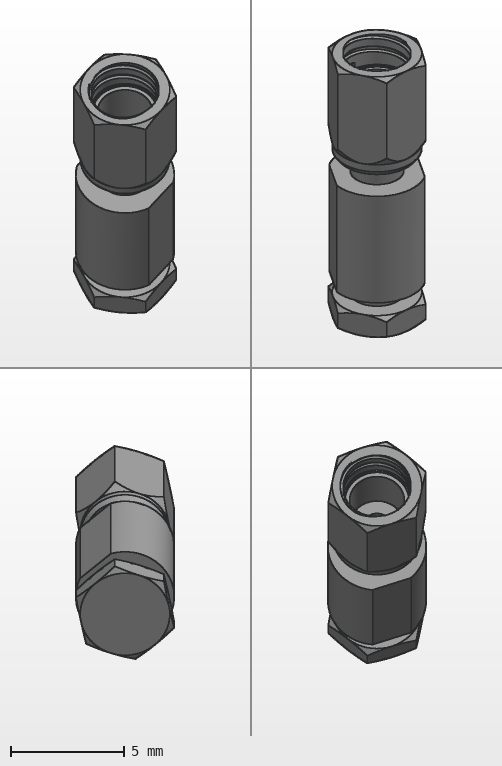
import cadquery as cq
import math

total_height = 13.51
base_hex_top = 1.12
sleeve_bottom = 1.9
sleeve_top = 7.43
nut_bottom = 8.16
collar_edge = 8.32
collar_bottom = 8.58
nut_hex_bottom = 8.95

across_flats = 3.96
flat_radius = across_flats / 2
corner_radius = flat_radius / math.cos(math.radians(30))
neck_radius = 1.19
sleeve_radius = 2.18
collar_end_radius = 1.34
collar_edge_radius = 1.78
hex_chamfer = (corner_radius - flat_radius) * math.tan(math.radians(30))
nut_lower_chamfer = 0.5

thread_minor_radius = 1.5
step_radius = 1.42
step_height = 0.08
thread_root_radius = 1.62
ledge_depth = 1.58
lower_bore_radius = 1.22
socket_floor = 9.46

thread_pitch = 0.69
thread_opening = 0.28
thread_root_width = 0.15
thread_turns = 2.25
thread_runout = 0.23
thread_start_angle = -60
thread_overlap = 0.04

recess_radius = 0.61
recess_depth = 0.81
contact_radius = 0.39
notch_width = 0.53
notch_back = 0.061
notch_depth = 0.34
notch_knee_rise = 0.04
notch_front_rise = 0.23


def hexagon(bottom, top, lower_chamfer, upper_chamfer):
    """Hexagon with corners on Y, turned down to its inscribed circle at both ends."""
    prism = (
        cq.Workplane("XY", origin=(0, 0, bottom))
        .polygon(6, 2 * corner_radius)
        .extrude(top - bottom)
        .rotate((0, 0, 0), (0, 0, 1), 30)
    )
    envelope = (
        cq.Workplane("XZ")
        .moveTo(0, bottom)
        .lineTo(flat_radius, bottom)
        .lineTo(corner_radius, bottom + lower_chamfer)
        .lineTo(corner_radius, top - upper_chamfer)
        .lineTo(flat_radius, top)
        .lineTo(0, top)
        .close()
        .revolve(360, (0, 0, 0), (0, 1, 0))
    )
    return prism.intersect(envelope)


def cylinder(radius, bottom, top):
    return cq.Workplane("XY", origin=(0, 0, bottom)).circle(radius).extrude(top - bottom)


def collar():
    """Round lower end of the nut, tapering in two steps towards the neck."""
    return (
        cq.Workplane("XZ")
        .moveTo(0, nut_bottom)
        .lineTo(collar_end_radius, nut_bottom)
        .lineTo(collar_edge_radius, collar_edge)
        .lineTo(flat_radius, collar_bottom)
        .lineTo(flat_radius, nut_hex_bottom)
        .lineTo(0, nut_hex_bottom)
        .close()
        .revolve(360, (0, 0, 0), (0, 1, 0))
    )


def sleeve():
    """Round sleeve with two flats level with the hexagon faces."""
    body = cylinder(sleeve_radius, sleeve_bottom, sleeve_top)
    height = sleeve_top - sleeve_bottom
    flats = cq.Workplane("XY", origin=(0, 0, sleeve_bottom)).rect(across_flats, 2 * sleeve_radius)
    return body.intersect(flats.extrude(height))


def socket():
    """Bore narrowing in two steps to a flat floor."""
    ledge = total_height - ledge_depth
    return (
        cq.Workplane("XZ")
        .moveTo(0, socket_floor)
        .lineTo(lower_bore_radius, socket_floor)
        .lineTo(lower_bore_radius, ledge)
        .lineTo(step_radius, ledge)
        .lineTo(step_radius, ledge + step_height)
        .lineTo(thread_minor_radius, ledge + step_height)
        .lineTo(thread_minor_radius, total_height)
        .lineTo(0, total_height)
        .close()
        .revolve(360, (0, 0, 0), (0, 1, 0))
    )


def thread_groove():
    """Trapezoidal helical groove, climbing counterclockwise and running out through the rim."""
    length = thread_turns * thread_pitch
    start = total_height + thread_runout - length
    path = cq.Wire.makeHelix(thread_pitch, length, thread_minor_radius)
    flank_slope = (thread_opening - thread_root_width) / 2 / (thread_root_radius - thread_minor_radius)
    half_opening = thread_opening / 2 + thread_overlap * flank_slope
    half_root = thread_root_width / 2
    inner = thread_minor_radius - thread_overlap
    profile = (
        cq.Workplane("XZ")
        .moveTo(inner, -half_opening)
        .lineTo(thread_root_radius, -half_root)
        .lineTo(thread_root_radius, half_root)
        .lineTo(inner, half_opening)
        .close()
    )
    groove = profile.sweep(cq.Workplane(path), isFrenet=True)
    return groove.rotate((0, 0, 0), (0, 0, 1), thread_start_angle).translate((0, 0, start))


def contact_recess():
    ring = cq.Workplane("XY", origin=(0, 0, socket_floor)).circle(recess_radius).circle(contact_radius)
    return ring.extrude(-recess_depth)


def contact_notch():
    """Notch open to -Y whose floor rises gently, then steeply, towards its open side."""
    floor = socket_floor - notch_depth
    return (
        cq.Workplane("YZ")
        .moveTo(notch_back, socket_floor)
        .lineTo(notch_back, floor)
        .lineTo(-notch_back, floor + notch_knee_rise)
        .lineTo(-contact_radius, floor + notch_front_rise)
        .lineTo(-contact_radius, socket_floor)
        .close()
        .extrude(notch_width / 2, both=True)
    )


base_hex = hexagon(0, base_hex_top, hex_chamfer, hex_chamfer)
nut_hex = hexagon(nut_hex_bottom, total_height, nut_lower_chamfer, hex_chamfer)
neck = cylinder(neck_radius, 0, nut_hex_bottom)

result = (
    base_hex.union(neck)
    .union(sleeve())
    .union(collar())
    .union(nut_hex)
    .cut(socket())
    .cut(thread_groove())
    .cut(contact_recess())
    .cut(contact_notch())
)